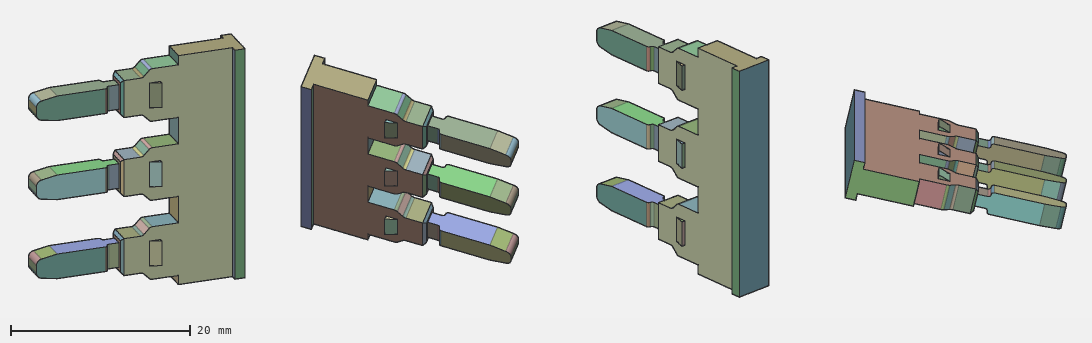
import cadquery as cq
import math


bar_height = 27.8
flange_width = 4.5
flange_depth = 1.22
web_width = 2.95
web_front = 7.65

finger_count = 3
finger_pitch = 9.6

shoulder_front = 14.45
base_height = 6.4
collar_height = 4.5
ramp_start = 10.98
ramp_length = (base_height - collar_height) / 2
ramp_radius = 0.53
bevel = 0.33

pin_tip = 24.5
pin_width = 2.59
pin_height = 3.0
neck_width = 1.42
neck_front = 15.95
neck_radius = (pin_width - neck_width) / 4
taper_start = 22.02
taper_angle = 10.0
tip_radius = 0.72

barb_back = 9.79
barb_front = 11.12
barb_span = 3.85
barb_height = pin_height


def box(width, back, front, height):
    """Block centred on X and Z, reaching from depth back to depth front."""
    block = cq.Workplane("XY").box(width, front - back, height)
    return block.translate((0, -(back + front) / 2, 0))


def make_bar():
    flange = box(flange_width, 0, flange_depth, bar_height)
    web = box(web_width, 0, web_front, bar_height)
    return flange.union(web)


def make_shoulder():
    """Stepped block with rounded 45 degree ramps and a bevelled front."""
    collar_front = shoulder_front - bevel
    ramp_end = ramp_start + ramp_length
    upper = [
        (-web_front, base_height / 2),
        (-ramp_start, base_height / 2),
        (-ramp_end, collar_height / 2),
        (-collar_front, collar_height / 2),
    ]
    lower = [(y, -z) for y, z in reversed(upper)]
    block = (
        cq.Workplane("YZ")
        .polyline(upper + lower)
        .close()
        .extrude(web_width / 2, both=True)
    )
    ramp_middle = (ramp_start + ramp_end) / 2
    ramp_edges = cq.selectors.BoxSelector(
        (-web_width, -ramp_middle - ramp_length, -base_height),
        (web_width, -ramp_middle + ramp_length, base_height),
    )
    block = block.edges("|X").edges(ramp_edges).fillet(ramp_radius)
    nose = (
        cq.Workplane("XZ", origin=(0, -collar_front, 0))
        .rect(web_width, collar_height)
        .extrude(bevel, taper=45)
    )
    return block.union(nose)


def make_barbs():
    """Pair of wedges, widest at the back and fading into the shoulder faces."""
    return (
        cq.Workplane("XY")
        .polyline([
            (-barb_span / 2, -barb_back),
            (barb_span / 2, -barb_back),
            (web_width / 2, -barb_front),
            (-web_width / 2, -barb_front),
        ])
        .close()
        .extrude(barb_height / 2, both=True)
    )


def make_pin():
    """Blade with a narrow neck, S-curved neck steps and a tapered, rounded tip."""
    tip_drop = (pin_tip - taper_start) * math.tan(math.radians(taper_angle))
    upper = [
        (-shoulder_front, pin_height / 2),
        (-taper_start, pin_height / 2),
        (-pin_tip, pin_height / 2 - tip_drop),
    ]
    lower = [(y, -z) for y, z in reversed(upper)]
    side = (
        cq.Workplane("YZ")
        .polyline(upper + lower)
        .close()
        .extrude(pin_width / 2, both=True)
    )
    side = side.faces("<Y").edges("|X").fillet(tip_radius)

    half_neck = neck_width / 2
    half_pin = pin_width / 2
    half_step = half_neck + neck_radius
    step_back = -neck_front + neck_radius
    step_front = -neck_front - neck_radius
    plan = (
        cq.Workplane("XY")
        .moveTo(half_neck, -shoulder_front)
        .lineTo(half_neck, step_back)
        .tangentArcPoint((half_step, -neck_front), relative=False)
        .tangentArcPoint((half_pin, step_front), relative=False)
        .lineTo(half_pin, -pin_tip)
        .lineTo(-half_pin, -pin_tip)
        .lineTo(-half_pin, step_front)
        .tangentArcPoint((-half_step, -neck_front), relative=False)
        .tangentArcPoint((-half_neck, step_back), relative=False)
        .lineTo(-half_neck, -shoulder_front)
        .close()
        .extrude(pin_height / 2, both=True)
    )
    return side.intersect(plan)


finger = make_shoulder().union(make_barbs()).union(make_pin())

result = make_bar()
for index in range(finger_count):
    height = (index - (finger_count - 1) / 2) * finger_pitch
    result = result.union(finger.translate((0, 0, height)))